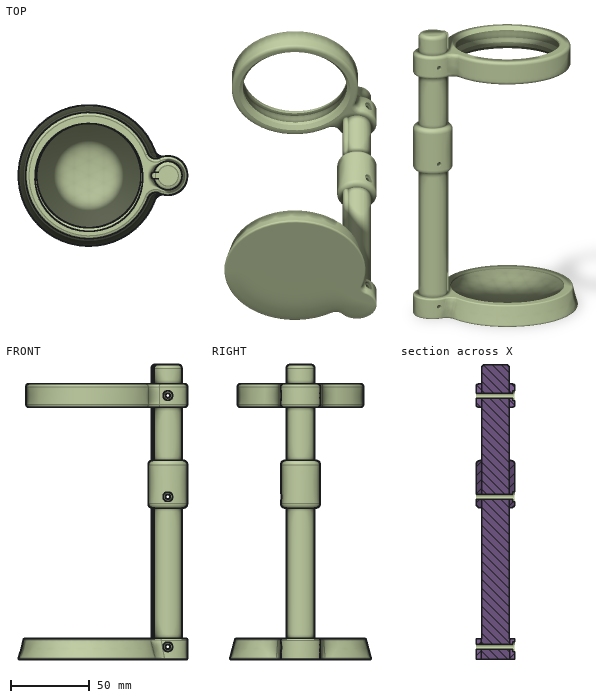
import cadquery as cq
import math

rod_offset = 50.0
rod_height = 187.0
clamp_radius = 12.5
neck_fillet = 5.0

rod_radius = 9.0
rod_end_fillet = 2.5
key_reach = 10.5
key_side_depth = 1.0
key_root_width = 4.3
key_shoulder_width = 3.3

screw_diameter = 2.85
screw_head_diameter = 6.0
screw_head_depth = 1.5

base_bottom_radius = 45.0
base_height = 13.5
base_draft = 15.0
base_fillet = 1.0
base_screw_z = 8.2
dish_radius = 36.0
dish_wall = 1.0
dish_sphere_radius = 70.0

ring_radius = 40.0
ring_bottom = 159.8
ring_height = 15.0
ring_top = ring_bottom + ring_height
ring_fillet = 2.0
ring_screw_z = ring_bottom + ring_height / 2
seat_radius = 70.6 / 2
lip_radius = 33.0
lip_step = seat_radius - lip_radius
lower_lip_height = 2.5
upper_lip_height = 2.2

collar_bottom = 96.0
collar_height = 30.35
collar_fillet = 3.0
collar_screw_z = collar_bottom + 7.2


def cylinder(radius, bottom, height, x=0.0):
    """Upright cylinder with its axis at the given X."""
    return cq.Workplane("XY", origin=(x, 0, bottom)).circle(radius).extrude(height)


def turned(profile, y=0.0):
    """Solid of revolution about the vertical axis at the given Y, from (radius, Z) points."""
    outline = cq.Workplane("XZ", origin=(0, y, 0)).polyline(profile).close()
    return outline.revolve(360, (0, 0, 0), (0, 1, 0))


def rounded_post(radius):
    """Full-length post on the rod axis, rounded at the top, with its seam on the key side."""
    post = cylinder(radius, 0, rod_height, rod_offset).faces(">Z").edges().fillet(rod_end_fillet)
    return post.rotate((rod_offset, 0, 0), (rod_offset, 0, 1), 180)


def make_rod_blank():
    """Rod and key, before the screw holes are drilled."""
    root_x = rod_offset - rod_radius
    shoulder_x = root_x - key_side_depth
    half_root = key_root_width / 2
    half_shoulder = key_shoulder_width / 2
    key = (
        cq.Workplane("XY")
        .moveTo(rod_offset, half_root)
        .lineTo(root_x, half_root)
        .lineTo(shoulder_x, half_shoulder)
        .threePointArc((rod_offset - key_reach, 0), (shoulder_x, -half_shoulder))
        .lineTo(root_x, -half_root)
        .lineTo(rod_offset, -half_root)
        .close()
        .extrude(rod_height)
    )
    return rounded_post(rod_radius).union(key.intersect(rounded_post(key_reach)))


def screw_hole(z):
    """Through hole with a head recess on the -Y side."""
    hole = (
        cq.Workplane("XZ", origin=(rod_offset, clamp_radius, z))
        .circle(screw_diameter / 2)
        .extrude(2 * clamp_radius)
    )
    head = (
        cq.Workplane("XZ", origin=(rod_offset, screw_head_depth - clamp_radius, z))
        .circle(screw_head_diameter / 2)
        .extrude(screw_head_depth)
    )
    return hole.union(head)


def add_clamp(disc, bottom, height, edge_fillet):
    """Joins a clamp boss to a disc, blends the neck and rounds the rims."""
    joined = disc.union(cylinder(clamp_radius, bottom, height, rod_offset))
    box_end = height / 10
    neck = cq.selectors.BoxSelector(
        (rod_offset - clamp_radius, -clamp_radius, bottom + box_end),
        (rod_offset, clamp_radius, bottom + height - box_end),
    )
    blended = joined.edges(neck).fillet(neck_fillet)
    return blended.faces("<Z or >Z").edges().fillet(edge_fillet)


def make_base():
    """Tapered foot with a clamp boss and a spherical dish below a short wall."""
    top_radius = base_bottom_radius - base_height * math.tan(math.radians(base_draft))
    disc = turned([(0, 0), (base_bottom_radius, 0), (top_radius, base_height), (0, base_height)])
    body = add_clamp(disc, 0, base_height, base_fillet)
    wall_bottom = base_height - dish_wall
    sphere_z = wall_bottom + math.sqrt(dish_sphere_radius**2 - dish_radius**2)
    sphere = cq.Workplane("XY", origin=(0, 0, sphere_z)).sphere(dish_sphere_radius, direct=(1, 0, 0))
    bowl = cylinder(dish_radius, 0, base_height).intersect(sphere)
    wall = cylinder(dish_radius, wall_bottom, dish_wall)
    return body.cut(bowl).cut(wall)


def make_ring():
    """Lens holder: a seat between two lips, with an off-centre lead-in at the top."""
    disc = cylinder(ring_radius, ring_bottom, ring_height)
    body = add_clamp(disc, ring_bottom, ring_height, ring_fillet)
    lower_lip_bottom = ring_bottom + lip_step
    lower_lip_top = lower_lip_bottom + lower_lip_height
    upper_lip_bottom = ring_top - upper_lip_height
    bore = turned(
        [
            (0, ring_bottom),
            (seat_radius, ring_bottom),
            (lip_radius, lower_lip_bottom),
            (lip_radius, lower_lip_top),
            (seat_radius, lower_lip_top + lip_step),
            (seat_radius, upper_lip_bottom),
            (lip_radius, upper_lip_bottom),
            (lip_radius, ring_top),
            (0, ring_top),
        ]
    )
    lead_in_shift = lip_step / 2
    lead_in_radius = lip_radius + lead_in_shift
    lead_in_bottom = ring_top - lip_step
    lead_in = turned(
        [
            (0, ring_top),
            (lead_in_radius, ring_top),
            (lead_in_radius - lip_step, lead_in_bottom),
            (0, lead_in_bottom),
        ],
        y=-lead_in_shift,
    )
    return body.cut(bore).cut(lead_in)


def make_collar():
    """Round sleeve with rounded ends."""
    blank = cylinder(clamp_radius, collar_bottom, collar_height, rod_offset)
    return blank.faces("<Z or >Z").edges().fillet(collar_fillet)


rod_blank = make_rod_blank()
base = make_base().cut(rod_blank).cut(screw_hole(base_screw_z))
ring = make_ring().cut(rod_blank).cut(screw_hole(ring_screw_z))
collar = make_collar().cut(rod_blank).cut(screw_hole(collar_screw_z))
rod = rod_blank
for screw_z in (base_screw_z, collar_screw_z, ring_screw_z):
    rod = rod.cut(screw_hole(screw_z))

result = cq.Compound.makeCompound([base.val(), rod.val(), collar.val(), ring.val()])